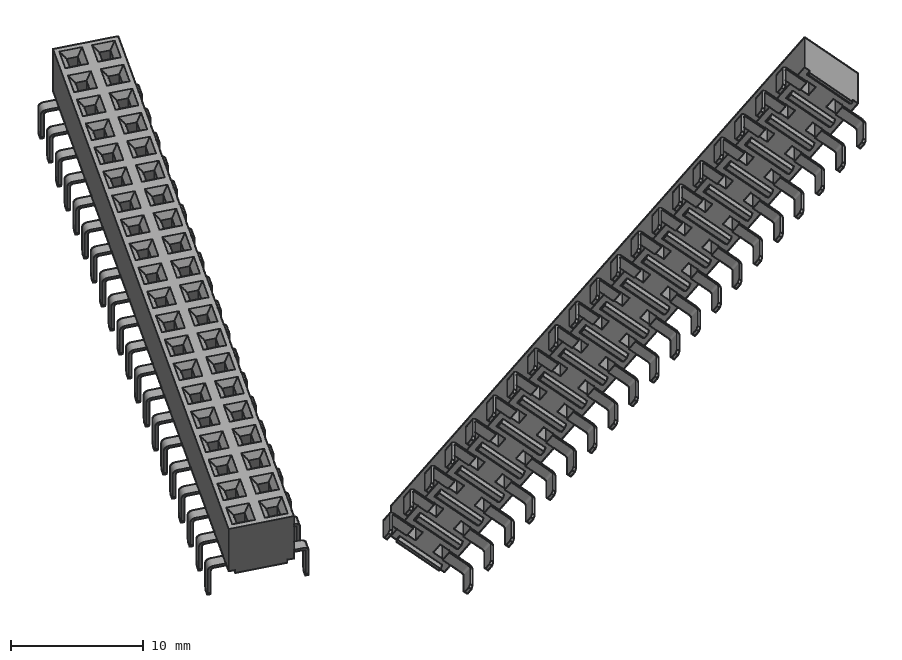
import cadquery as cq

pitch = 2.55
columns = 20
rows = 2

body_length = columns * pitch
body_width = rows * pitch
total_height = 8.0
housing_height = 5.05

rib_height = 0.33
body_height = housing_height - rib_height
rib_top_width = 0.8
rib_bottom_width = 0.4
rib_length = 4.05

socket_mouth = 1.8
socket_hole = 0.85
funnel_depth = 0.45

lead_span = 7.85
lead_width = 0.8
lead_thickness = 0.25
bend_radius = 0.45
inner_bend_radius = bend_radius - lead_thickness
lead_inner_end = pitch / 2 + socket_hole / 2
tip_height = 0.35
tip_width = 0.5

body_bottom = total_height - body_height
rib_bottom = body_bottom - rib_height
column_places = [(i - (columns - 1) / 2) * pitch for i in range(columns)]
row_places = [(i - (rows - 1) / 2) * pitch for i in range(rows)]


def make_housing():
    """Plain rectangular block."""
    block = cq.Workplane("XY").box(body_length, body_width, body_height, centered=(True, True, False))
    return block.translate((0, 0, body_bottom))


def make_ribs():
    """Tapered ribs running along Y; the two end ribs are cut flush with the housing ends."""
    rib = (
        cq.Workplane("XZ")
        .moveTo(-rib_top_width / 2, body_bottom)
        .lineTo(-rib_bottom_width / 2, rib_bottom)
        .lineTo(rib_bottom_width / 2, rib_bottom)
        .lineTo(rib_top_width / 2, body_bottom)
        .close()
        .extrude(rib_length / 2, both=True)
    )
    ribs = cq.Workplane("XY")
    for i in range(columns + 1):
        ribs = ribs.add(rib.translate((i * pitch - body_length / 2, 0, 0)))
    envelope = cq.Workplane("XY").box(body_length, body_width, total_height, centered=(True, True, False))
    return ribs.combine().intersect(envelope)


def make_sockets():
    """Cutting solids for all sockets: the through holes and the funnels above them."""
    centres = [(x, y) for x in column_places for y in row_places]
    holes = cq.Workplane("XY").pushPoints(centres).rect(socket_hole, socket_hole).extrude(total_height)
    funnel = (
        cq.Workplane("XY", origin=(0, 0, total_height))
        .rect(socket_mouth, socket_mouth)
        .workplane(offset=-funnel_depth)
        .rect(socket_hole, socket_hole)
        .loft()
    )
    funnels = cq.Workplane("XY")
    for x, y in centres:
        funnels = funnels.add(funnel.translate((x, y, 0)))
    return holes, funnels.combine()


def make_lead():
    """One lead on the +Y side: flat under the housing, bent down, with a tapered tip."""
    outer = lead_span / 2
    bent_strip = (
        cq.Workplane("YZ")
        .moveTo(lead_inner_end, body_bottom)
        .lineTo(outer - bend_radius, body_bottom)
        .radiusArc((outer, body_bottom - bend_radius), bend_radius)
        .lineTo(outer, 0)
        .lineTo(outer - lead_thickness, 0)
        .lineTo(outer - lead_thickness, body_bottom - bend_radius)
        .radiusArc((outer - bend_radius, body_bottom - lead_thickness), -inner_bend_radius)
        .lineTo(lead_inner_end, body_bottom - lead_thickness)
        .close()
        .extrude(lead_width / 2, both=True)
    )
    front_outline = (
        cq.Workplane("XZ")
        .moveTo(-tip_width / 2, 0)
        .lineTo(tip_width / 2, 0)
        .lineTo(lead_width / 2, tip_height)
        .lineTo(lead_width / 2, body_bottom)
        .lineTo(-lead_width / 2, body_bottom)
        .lineTo(-lead_width / 2, tip_height)
        .close()
        .extrude(lead_span, both=True)
    )
    return bent_strip.intersect(front_outline)


def make_leads():
    """A lead on each long side at every column."""
    lead = make_lead()
    opposite_lead = lead.mirror("XZ")
    leads = cq.Workplane("XY")
    for x in column_places:
        leads = leads.add(lead.translate((x, 0, 0)))
        leads = leads.add(opposite_lead.translate((x, 0, 0)))
    return leads.combine()


holes, funnels = make_sockets()
result = make_housing().union(make_ribs()).cut(holes).cut(funnels).union(make_leads())